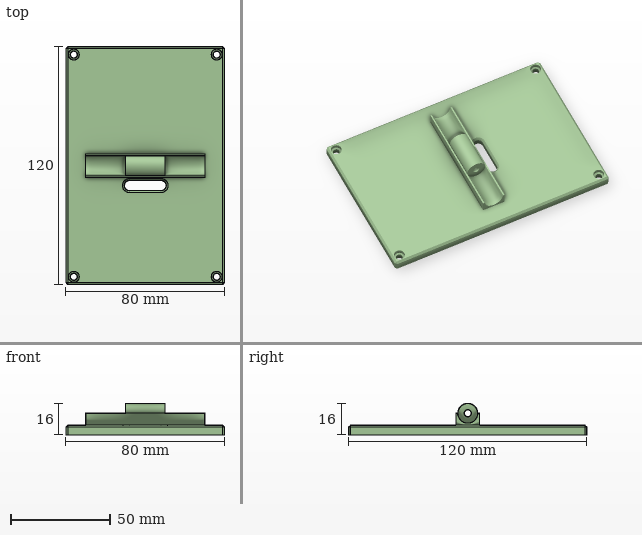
import cadquery as cq
import math

plate_length_x = 80.0
plate_length_y = 120.0
plate_thickness = 5.0
plate_chamfer = 1.0

screw_hole_diameter = 3.4
screw_head_diameter = 5.5
screw_head_depth = 2.0
screw_edge_distance = 4.0

barrel_diameter = 10.0
barrel_length = 20.0
barrel_bore_diameter = 3.4
barrel_floor_gap = 1.0
barrel_axis_z = plate_thickness + barrel_floor_gap + barrel_diameter / 2

cradle_length = 60.0
cradle_width = 12.0
trough_diameter = barrel_diameter
trough_wall_angle = 18.0
cradle_height = barrel_axis_z - plate_thickness

slot_width = 5.0
slot_straight_length = 16.0
slot_chamfer = 1.0
slot_center_y = -10.0


def rod_along_x(diameter, length):
    """Cylinder on the barrel axis, centered on X = 0."""
    return (
        cq.Workplane("YZ", origin=(-length / 2, 0, barrel_axis_z))
        .circle(diameter / 2)
        .extrude(length)
    )


def make_plate():
    """Plate with chamfered top and vertical edges."""
    plate = cq.Workplane("XY").box(
        plate_length_x, plate_length_y, plate_thickness, centered=(True, True, False)
    )
    return plate.edges("|Z or >Z").chamfer(plate_chamfer)


def cut_screw_holes(plate):
    """Counterbored holes near the four corners."""
    return (
        plate.faces(">Z")
        .workplane(origin=(0, 0, plate_thickness))
        .rect(
            plate_length_x - 2 * screw_edge_distance,
            plate_length_y - 2 * screw_edge_distance,
            forConstruction=True,
        )
        .vertices()
        .cboreHole(screw_hole_diameter, screw_head_diameter, screw_head_depth)
    )


def cut_slot(plate):
    """Round-ended slot with both rims chamfered."""
    slot_region = cq.selectors.BoxSelector(
        (-slot_straight_length, slot_center_y - slot_width, -plate_thickness),
        (slot_straight_length, slot_center_y + slot_width, 2 * plate_thickness),
    )
    slotted = (
        plate.faces(">Z")
        .workplane(origin=(0, slot_center_y, plate_thickness))
        .slot2D(slot_straight_length + slot_width, slot_width)
        .cutThruAll()
    )
    return slotted.edges(slot_region).edges("<Z or >Z").chamfer(slot_chamfer)


def make_trough_cutter():
    """Round-bottomed trough around the barrel axis, its walls flaring out tangentially to the top."""
    radius = trough_diameter / 2
    angle = math.radians(trough_wall_angle)
    top_half_width = radius / math.cos(angle)
    tangent_y = radius * math.cos(angle)
    tangent_z = -radius * math.sin(angle)
    return (
        cq.Workplane("YZ", origin=(-cradle_length / 2, 0, barrel_axis_z))
        .moveTo(-top_half_width, 0)
        .lineTo(-tangent_y, tangent_z)
        .threePointArc((0, -radius), (tangent_y, tangent_z))
        .lineTo(top_half_width, 0)
        .close()
        .extrude(cradle_length)
    )


def make_cradle():
    """Block on the plate with the barrel's trough in its top."""
    block = cq.Workplane("XY", origin=(0, 0, plate_thickness)).box(
        cradle_length, cradle_width, cradle_height, centered=(True, True, False)
    )
    return block.cut(make_trough_cutter())


plate = cut_slot(cut_screw_holes(make_plate()))
barrel = rod_along_x(barrel_diameter, barrel_length)
bore = rod_along_x(barrel_bore_diameter, barrel_length)
result = plate.union(make_cradle()).union(barrel).cut(bore)